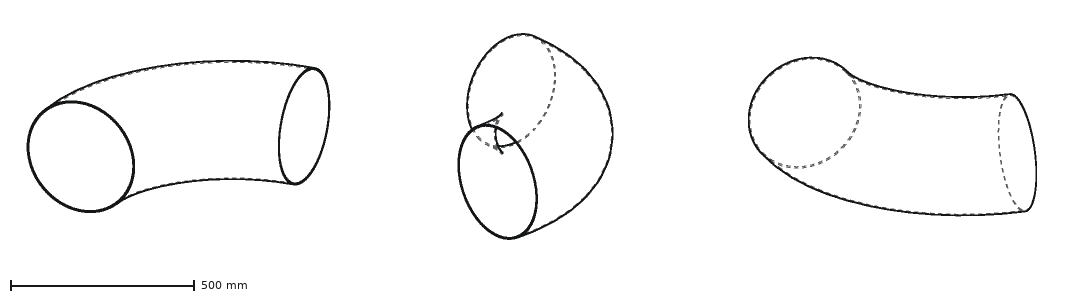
import cadquery as cq

outer_diameter = 323.9
wall_thickness = 4.0
bend_radius = 457.0
bend_angle = 90.0

outer_radius = outer_diameter / 2
inner_radius = outer_radius - wall_thickness


def make_elbow():
    """Sweep the pipe ring about the vertical bend axis through the origin.

    The ring starts on the -X side, facing -Y, and ends on the +Y side, facing +X.
    """
    ring = (
        cq.Workplane("XZ")
        .center(-bend_radius, 0)
        .circle(outer_radius)
        .circle(inner_radius)
    )
    axis_start = (bend_radius, 0)
    axis_end = (bend_radius, -1)
    return ring.revolve(bend_angle, axis_start, axis_end)


result = make_elbow()